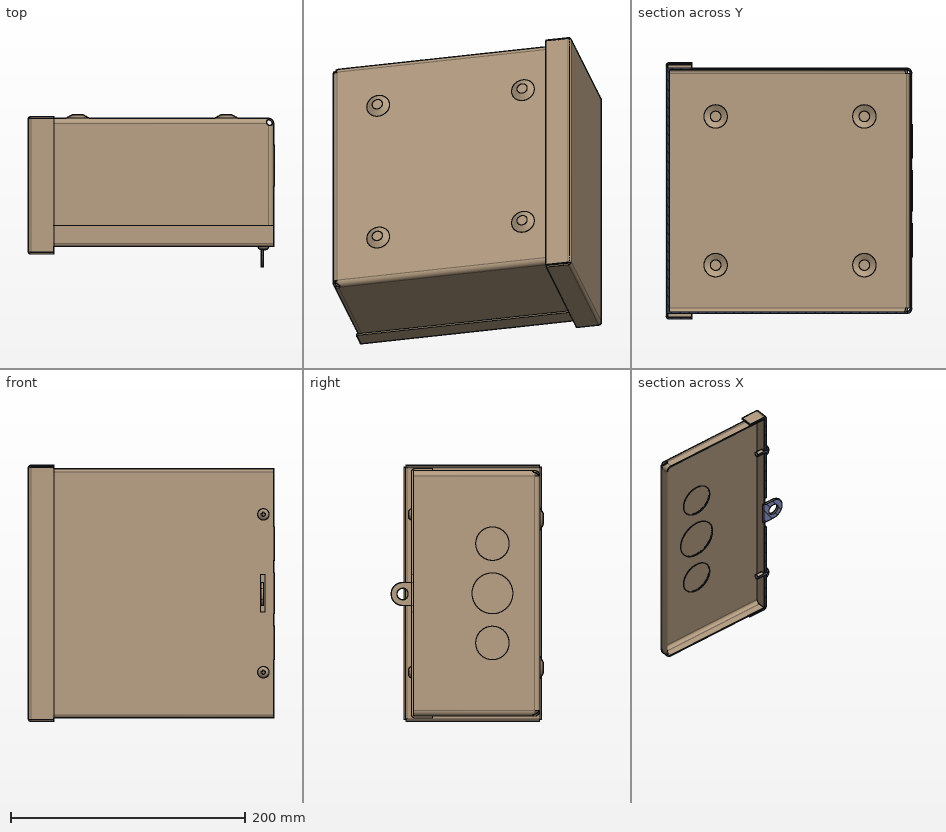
import cadquery as cq


sheet = 1.52
bend_radius = 2.6
seam_notch = 1.7

overall_length = 210.32
overall_depth = 130.16
hood_width = 219.07

knockout_rise = 0.5
tray_end = overall_length - knockout_rise
cover_width = 212.8
tray_width = cover_width - 2 * sheet
tray_bend_radius = 4.6
corner_bend_radius = 3.5
relief_radius = 2.6
lip_length = 20.0

boss_rise = 3.07
boss_base_diameter = 20.0
boss_top_diameter = 9.0
boss_spacing = 127.0
boss_middle_x = 105.8

knockouts = [(34.9, 0.0), (28.6, 42.4), (28.6, -42.4)]
knockout_y = -40.5

cover_front = -109.6
cover_back = cover_front + sheet
cover_flange = 18.1

hood_length = 22.0
hood_front = -116.1
hood_back = sheet

hasp_thickness = 1.9
hasp_x = 199.9
hasp_z = -0.6
hasp_width = 19.8
hasp_hole_diameter = 9.53
hasp_tip = boss_rise - overall_depth
hasp_centre_y = hasp_tip + hasp_width / 2
slot_width = 3.96
slot_length = 32.0
slot_x = 200.5

screw_x = 200.9
screw_spacing = 134.8
head_diameter = 9.75
head_height = 2.8
head_flat_radius = 1.9
dome_middle_radius = 3.66
dome_middle_height = 1.9
shank_diameter = 4.17
shank_length = 9.53
drive_span = 3.76
drive_width = 1.1
drive_depth = 1.5

screw_places = [(screw_x, side * screw_spacing / 2) for side in (-1, 1)]


def block(x_min, x_max, y_min, y_max, width):
    """Box between X and Y limits, centred on Z = 0."""
    return (cq.Workplane("XY")
            .box(x_max - x_min, y_max - y_min, width, centered=(False, False, True))
            .translate((x_min, y_min, 0)))


def facing_front(y):
    """Sketch plane at the given Y whose local axes are X and Z and whose normal is -Y."""
    return cq.Workplane("XZ", origin=(0, y, 0))


def hasp_blank(y_root):
    """Hasp plate from its rounded tip back to y_root, without the padlock hole."""
    half = hasp_width / 2
    return (cq.Workplane("YZ", origin=(hasp_x - hasp_thickness / 2, 0, hasp_z))
            .moveTo(y_root, -half)
            .lineTo(hasp_centre_y, -half)
            .threePointArc((hasp_tip, 0), (hasp_centre_y, half))
            .lineTo(y_root, half)
            .close()
            .extrude(hasp_thickness))


def rounded_tray_block(inset):
    """Tray envelope shrunk by inset, with its back bends rounded."""
    side_radius = tray_bend_radius - inset
    body = block(sheet + inset, tray_end - inset, cover_back, -inset, tray_width - 2 * inset)
    body = body.edges("|Y and >X").fillet(side_radius)
    return body.edges("|X and >Y").fillet(side_radius)


def corner_cutter(inset):
    """Material outside the rounded back-to-end bend, over the full width."""
    x_max = tray_end - inset
    radius = corner_bend_radius - inset
    square = block(x_max - radius, x_max, -inset - radius, -inset, tray_width)
    round_bar = (cq.Workplane("XY", origin=(x_max - radius, -inset - radius, -tray_width / 2))
                 .circle(radius).extrude(tray_width))
    return square.cut(round_bar)


def make_corner_relief(side):
    """Cutter that opens the corner where the back, end and one side meet."""
    centre = (tray_end - corner_bend_radius, -corner_bend_radius)
    z_start = side * (tray_width / 2 - tray_bend_radius)
    plane = cq.Workplane("XY", origin=(*centre, z_start))
    depth = side * tray_bend_radius
    hole = plane.circle(relief_radius).extrude(depth)
    corner = plane.rect(corner_bend_radius, corner_bend_radius, centered=False).extrude(depth)
    return hole.union(corner)


def make_tray():
    outer = rounded_tray_block(0).cut(corner_cutter(0))
    cavity = rounded_tray_block(sheet).cut(corner_cutter(sheet))
    tray = outer.cut(cavity)

    lip = block(tray_end - lip_length, tray_end - sheet,
                cover_back, cover_back + sheet, tray_width - 2 * sheet)
    tray = tray.union(lip)
    for side in (-1, 1):
        tray = tray.cut(make_corner_relief(side))

    half_spacing = boss_spacing / 2
    slant = (boss_base_diameter - boss_top_diameter) / 2
    boss = (cq.Workplane("XY")
            .lineTo(boss_base_diameter / 2, 0)
            .lineTo(boss_base_diameter / 2 - slant, boss_rise)
            .lineTo(0, boss_rise)
            .close()
            .revolve(360, (0, 0, 0), (0, 1, 0)))
    pressing = boss.translate((0, -sheet, 0))
    for x in (boss_middle_x - half_spacing, boss_middle_x + half_spacing):
        for z in (-half_spacing, half_spacing):
            tray = tray.union(boss.translate((x, 0, z)))
            tray = tray.cut(pressing.translate((x, 0, z)))

    for diameter, z in knockouts:
        disc = (cq.Workplane("YZ", origin=(tray_end, knockout_y, z))
                .circle(diameter / 2).extrude(knockout_rise))
        tray = tray.union(disc)
        tray = tray.cut(disc.translate((-sheet, 0, 0)))

    holes = (facing_front(cover_back + sheet).pushPoints(screw_places)
             .circle(shank_diameter / 2).extrude(sheet))
    return tray.cut(holes).cut(hasp_blank(cover_back + sheet))


def make_hood():
    shell = block(0, hood_length, hood_front, hood_back, hood_width)
    shell = shell.faces("<X").edges().fillet(bend_radius)
    cavity = block(sheet, hood_length, hood_front + sheet, hood_back - sheet, hood_width - 2 * sheet)
    cavity = cavity.faces("<X").edges("not >Y").fillet(bend_radius - sheet)
    hood = shell.cut(cavity)
    for y in (hood_front, hood_back - seam_notch):
        for z in (-hood_width / 2, hood_width / 2):
            notch = block(0, hood_length, y, y + seam_notch, 2 * seam_notch)
            hood = hood.cut(notch.translate((0, 0, z)))
    return hood


def make_cover():
    flange_end = cover_front + cover_flange
    outer = block(sheet, tray_end, cover_front, flange_end, cover_width)
    outer = outer.edges("|X and <Y").fillet(bend_radius)
    inner = block(sheet, tray_end, cover_back, flange_end, tray_width)
    slot = (facing_front(cover_back).center(slot_x, 0)
            .rect(slot_width, slot_length).extrude(sheet))
    holes = (facing_front(cover_back).pushPoints(screw_places)
             .circle(shank_diameter / 2).extrude(sheet))
    return outer.cut(inner).cut(slot).cut(holes)


def make_hasp():
    hole = (cq.Workplane("YZ", origin=(hasp_x - hasp_thickness / 2, hasp_centre_y, hasp_z))
            .circle(hasp_hole_diameter / 2).extrude(hasp_thickness))
    return hasp_blank(cover_back + sheet).cut(hole)


def make_screw(x, z):
    """Domed cross-recess screw seated on the cover."""
    head_radius = head_diameter / 2
    dome_middle = (dome_middle_radius, -dome_middle_height)
    screw = (cq.Workplane("XY")
             .moveTo(0, -head_height)
             .lineTo(head_flat_radius, -head_height)
             .threePointArc(dome_middle, (head_radius, 0))
             .lineTo(shank_diameter / 2, 0)
             .lineTo(shank_diameter / 2, shank_length)
             .lineTo(0, shank_length)
             .close()
             .revolve(360, (0, 0, 0), (0, 1, 0)))
    for size in ((drive_span, drive_width), (drive_width, drive_span)):
        arm = facing_front(-head_height + drive_depth).rect(*size).extrude(drive_depth)
        screw = screw.cut(arm)
    return screw.translate((x, cover_front, z))


tray = make_tray()
hood = make_hood()
cover = make_cover()
hasp = make_hasp()
screws = [make_screw(x, z) for x, z in screw_places]

result = cq.Compound.makeCompound(
    [body.solids().val() for body in (tray, hood, cover, hasp, *screws)]
)